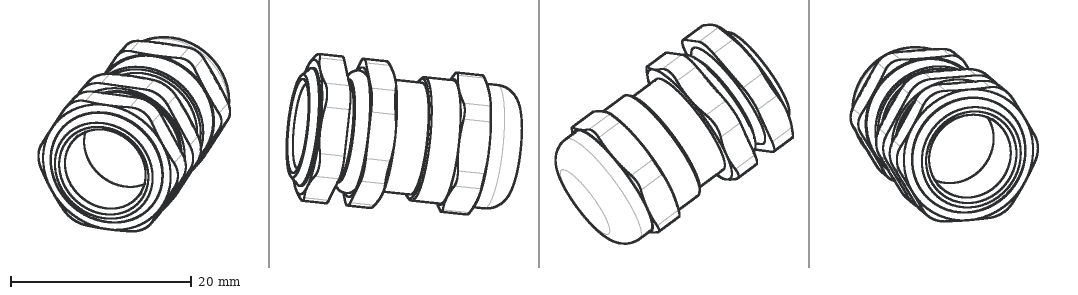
import cadquery as cq
import math

length = 24.4

cap_radius = 13.8 / 2
neck_radius = 12.5 / 2
thread_radius = 13.15 / 2
thread_end_radius = 11.5 / 2
seal_radius = 13.7 / 2
bore_radius = 9.5 / 2
bore_mouth_radius = 10.5 / 2
seal_recess_radius = 14.45 / 2

thread_chamfer_end = 0.88
locknut_start = 1.05
locknut_end = 4.1
upper_cone_end = 5.0
seal_centre = 6.15
body_hex_start = 6.55
body_hex_end = 9.57
collar_start = 13.43
cap_hex_start = 16.92
cap_hex_end = 20.38
bore_depth = 6.9

dome_fillet = 2.5
collar_chamfer = 0.22
seal_section_radius = 0.98

large_across_flats = 15.0
large_corner_fillet = 3.0
cap_across_flats = 14.0
cap_corner_fillet = 2.0
large_bevel_angle = 30.0
cap_bevel_angle = 20.0


def cylinder(radius, start, end):
    """Round bar along +Y between two stations."""
    return cq.Workplane("XZ", origin=(0, start, 0)).circle(radius).extrude(start - end)


def revolve_profile(points):
    """Revolve a closed (radius, y) outline about the Y axis."""
    return cq.Workplane("XY").polyline(points).close().revolve(360, (0, 0, 0), (0, 1, 0))


def hexagon(start, end, across_flats, corner_fillet, bevel_angle, bevel_start, bevel_end):
    """Hexagon with rounded corners on +X and -X, and conical bevels on the chosen ends."""
    corner_radius = across_flats / math.sqrt(3)
    flat_radius = across_flats / 2
    prism = (
        cq.Workplane("XZ", origin=(0, start, 0))
        .polygon(6, 2 * corner_radius)
        .extrude(start - end)
        .edges("|Y")
        .fillet(corner_fillet)
    )
    drop = (corner_radius - flat_radius) * math.tan(math.radians(bevel_angle))
    outline = [(0, start)]
    if bevel_start:
        outline += [(flat_radius, start), (corner_radius, start + drop)]
    else:
        outline += [(corner_radius, start)]
    if bevel_end:
        outline += [(corner_radius, end - drop), (flat_radius, end)]
    else:
        outline += [(corner_radius, end)]
    outline += [(0, end)]
    return prism.intersect(revolve_profile(outline))


stub = revolve_profile([
    (0, 0),
    (thread_end_radius, 0),
    (thread_radius, thread_chamfer_end),
    (thread_radius, locknut_end),
    (thread_end_radius, upper_cone_end),
    (thread_end_radius, body_hex_end),
    (0, body_hex_end),
])

seal_ring_radius = seal_radius - seal_section_radius
seal_plane = cq.Plane(origin=(seal_ring_radius, seal_centre, 0), xDir=(-1, 0, 0), normal=(0, 0, 1))
seal = (
    cq.Workplane(seal_plane)
    .circle(seal_section_radius)
    .revolve(360, (seal_ring_radius, 0, 0), (seal_ring_radius, 1, 0))
)

seal_recess_end = seal_centre + seal_section_radius
seal_recess = revolve_profile([
    (0, body_hex_start),
    (seal_recess_radius, body_hex_start),
    (seal_recess_radius - (seal_recess_end - body_hex_start), seal_recess_end),
    (0, seal_recess_end),
])

neck = cylinder(neck_radius, seal_recess_end, collar_start)

cap = (
    cylinder(cap_radius, collar_start, length)
    .faces(">Y").edges().fillet(dome_fillet)
    .faces("<Y").edges().chamfer(collar_chamfer)
)

locknut = hexagon(locknut_start, locknut_end, large_across_flats, large_corner_fillet,
                  large_bevel_angle, True, False)
body_hex = hexagon(body_hex_start, body_hex_end, large_across_flats, large_corner_fillet,
                   large_bevel_angle, False, True)
cap_hex = hexagon(cap_hex_start, cap_hex_end, cap_across_flats, cap_corner_fillet,
                  cap_bevel_angle, True, True)

bore = revolve_profile([
    (0, 0),
    (bore_mouth_radius, 0),
    (bore_radius, bore_mouth_radius - bore_radius),
    (bore_radius, bore_depth),
    (0, bore_depth),
])

result = body_hex.cut(seal_recess).union(stub).union(seal)
result = result.union(neck).union(cap).union(locknut).union(cap_hex).cut(bore)